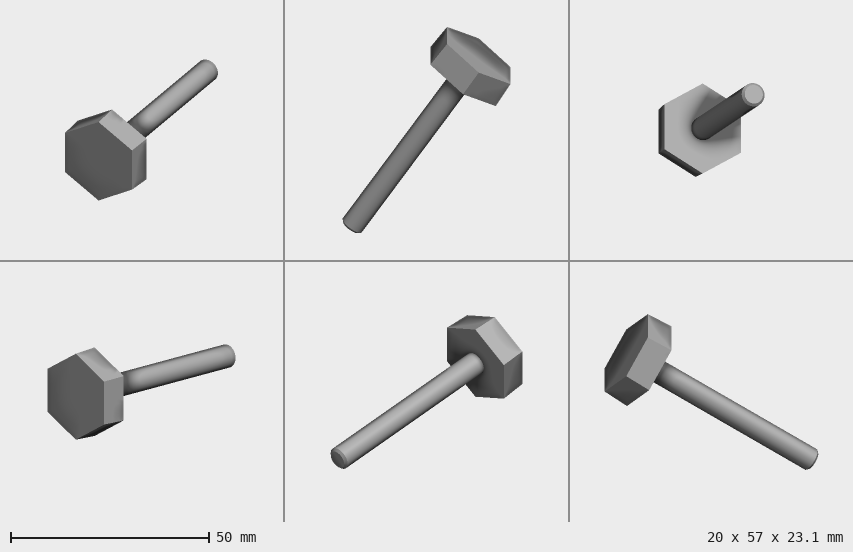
import cadquery as cq
import math

total_length = 57.0
head_height = 7.0
head_width = 20.0
head_draft = 2.5
shank_diameter = 6.0
tip_chamfer = 0.6

shank_length = total_length - head_height
head_corner_diameter = head_width / math.cos(math.radians(30))


def make_head():
    """Tapered hexagon from Y = 0 toward -Y, with flats facing +X and -X."""
    return (
        cq.Workplane("XZ")
        .transformed(rotate=(0, 0, 90))
        .polygon(6, head_corner_diameter)
        .extrude(head_height, taper=head_draft)
    )


def make_shank():
    """Round shank from Y = 0 toward +Y, chamfered at its tip."""
    return (
        cq.Workplane("XZ")
        .circle(shank_diameter / 2)
        .extrude(-shank_length)
        .faces(">Y")
        .chamfer(tip_chamfer)
    )


result = make_head().union(make_shank())